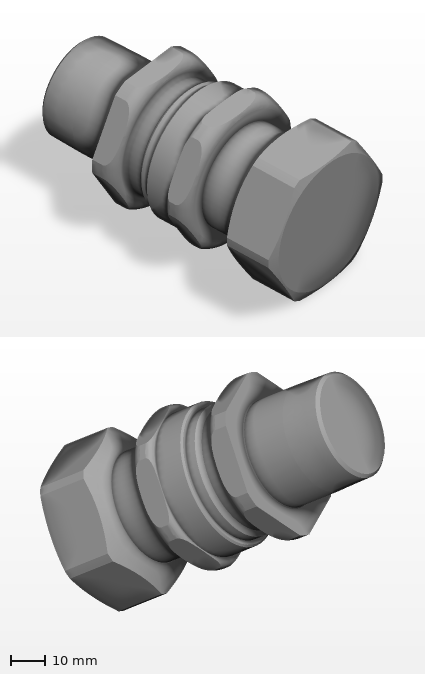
import cadquery as cq
import math


TAPER_END = 12.9
ENTRY_HEX_START = 27.4
ENTRY_HEX_END = 35.1
RING_START = 40.9
GLAND_START = 45.6
GLAND_HEX_START = 55.2
SLEEVE_START = 62.9
NUT_START = 75.5
FITTING_END = 96.65

ACROSS_FLATS = 46.0
HEX_CORNER_DIAMETER = 50.45
NUT_CORNER_DIAMETER = 51.5

SPIGOT_DIAMETER = 33.4
TAPER_TIP_DIAMETER = 32.9
TIP_CHAMFER = 1.0
SPIGOT_FLARE = 0.3
NECK_DIAMETER = 38.4
NECK_FILLET = 1.2

HEX_ROUND = 3.9
GLAND_SMALL_ROUND = 2.0

RING_DIAMETER = 41.3
RING_CHAMFER = 1.45

COLLAR_DIAMETER = 45.1
COLLAR_CHAMFER = 0.6

SLEEVE_DIAMETER = 34.9

NUT_CONE_SMALL_DIAMETER = 35.4
NUT_CONE_LENGTH = 4.1
NUT_END_CHAMFER_LENGTH = 1.2
NUT_END_CHAMFER_DROP = 3.3

QUARTER_ARC = math.sqrt(0.5)


def revolve_about_x(profile):
    """Close a half profile and turn it about the X axis."""
    return profile.close().revolve(360, (0, 0, 0), (1, 0, 0))


def cylinder(start, end, diameter):
    return cq.Workplane("YZ", origin=(start, 0, 0)).circle(diameter / 2).extrude(end - start)


def hex_prism(start, end):
    """Hexagonal prism along X with its corners towards +Y and -Y."""
    sharp_corner_diameter = ACROSS_FLATS / math.cos(math.pi / 6)
    return cq.Workplane("YZ", origin=(start, 0, 0)).polygon(6, sharp_corner_diameter).extrude(end - start)


def round_to_end(profile, end, radius, fillet):
    """Continue a half profile along its rim, then round it off onto the end face."""
    arc_start = end - fillet
    middle = (arc_start + fillet * QUARTER_ARC, radius - fillet * (1 - QUARTER_ARC))
    return profile.lineTo(arc_start, radius).threePointArc(middle, (end, radius - fillet)).lineTo(end, 0)


def make_entry():
    spigot_radius = SPIGOT_DIAMETER / 2
    taper_tip_radius = TAPER_TIP_DIAMETER / 2
    neck_radius = NECK_DIAMETER / 2
    hex_corner_radius = HEX_CORNER_DIAMETER / 2

    spigot = revolve_about_x(
        cq.Workplane("XY")
        .lineTo(0, taper_tip_radius - TIP_CHAMFER)
        .lineTo(TIP_CHAMFER, taper_tip_radius)
        .lineTo(TAPER_END, spigot_radius)
        .lineTo(ENTRY_HEX_START - SPIGOT_FLARE, spigot_radius)
        .lineTo(ENTRY_HEX_START, spigot_radius + SPIGOT_FLARE)
        .lineTo(ENTRY_HEX_START, 0)
    )

    hex_envelope = cq.Workplane("XY").moveTo(ENTRY_HEX_START, 0).lineTo(ENTRY_HEX_START, hex_corner_radius)
    hex_envelope = round_to_end(hex_envelope, ENTRY_HEX_END, hex_corner_radius, HEX_ROUND)
    hexagon = hex_prism(ENTRY_HEX_START, ENTRY_HEX_END).intersect(revolve_about_x(hex_envelope))

    fillet_middle = (
        ENTRY_HEX_END + NECK_FILLET * (1 - QUARTER_ARC),
        neck_radius + NECK_FILLET * (1 - QUARTER_ARC),
    )
    neck = revolve_about_x(
        cq.Workplane("XY")
        .moveTo(ENTRY_HEX_END, 0)
        .lineTo(ENTRY_HEX_END, neck_radius + NECK_FILLET)
        .threePointArc(fillet_middle, (ENTRY_HEX_END + NECK_FILLET, neck_radius))
        .lineTo(RING_START, neck_radius)
        .lineTo(RING_START, 0)
    )
    return spigot.union(hexagon).union(neck)


def make_ring():
    return cylinder(RING_START, GLAND_START, RING_DIAMETER).faces("<X").chamfer(RING_CHAMFER)


def make_gland_nut():
    collar = cylinder(GLAND_START, GLAND_HEX_START, COLLAR_DIAMETER).faces("<X").chamfer(COLLAR_CHAMFER)

    corner_radius = HEX_CORNER_DIAMETER / 2
    small_round_middle = (
        GLAND_HEX_START + GLAND_SMALL_ROUND * (1 - QUARTER_ARC),
        corner_radius - GLAND_SMALL_ROUND * (1 - QUARTER_ARC),
    )
    hex_envelope = (
        cq.Workplane("XY")
        .moveTo(GLAND_HEX_START, 0)
        .lineTo(GLAND_HEX_START, corner_radius - GLAND_SMALL_ROUND)
        .threePointArc(small_round_middle, (GLAND_HEX_START + GLAND_SMALL_ROUND, corner_radius))
    )
    hex_envelope = round_to_end(hex_envelope, SLEEVE_START, corner_radius, HEX_ROUND)
    hexagon = hex_prism(GLAND_HEX_START, SLEEVE_START).intersect(revolve_about_x(hex_envelope))
    return collar.union(hexagon)


def make_sleeve():
    return cylinder(SLEEVE_START, NUT_START, SLEEVE_DIAMETER)


def make_end_nut():
    corner_radius = NUT_CORNER_DIAMETER / 2
    envelope = revolve_about_x(
        cq.Workplane("XY")
        .moveTo(NUT_START, 0)
        .lineTo(NUT_START, NUT_CONE_SMALL_DIAMETER / 2)
        .lineTo(NUT_START + NUT_CONE_LENGTH, corner_radius)
        .lineTo(FITTING_END - NUT_END_CHAMFER_LENGTH, corner_radius)
        .lineTo(FITTING_END, corner_radius - NUT_END_CHAMFER_DROP)
        .lineTo(FITTING_END, 0)
    )
    return hex_prism(NUT_START, FITTING_END).intersect(envelope)


entry = make_entry()
ring = make_ring()
gland_nut = make_gland_nut()
sleeve = make_sleeve()
end_nut = make_end_nut()

result = cq.Compound.makeCompound([entry.val(), ring.val(), gland_nut.val(), sleeve.val(), end_nut.val()])